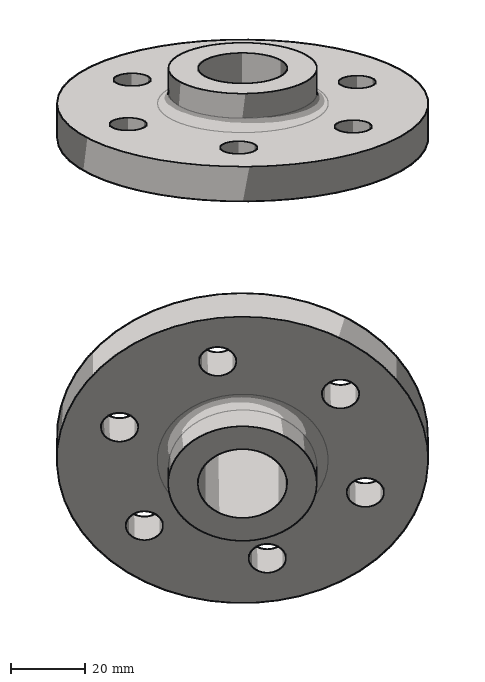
import cadquery as cq

flange_diameter = 100.0
flange_thickness = 10.0

hub_diameter = 40.0
hub_length = 30.0
hub_fillet_radius = 3.0
bore_diameter = 24.0

bolt_hole_count = 6
bolt_hole_diameter = 10.0
bolt_circle_diameter = 70.0


def centred_cylinder(diameter, length):
    return cq.Workplane("XY").workplane(offset=-length / 2).circle(diameter / 2).extrude(length)


def filleted_body():
    """Flange and hub in one piece, with both hub roots filleted."""
    flange = centred_cylinder(flange_diameter, flange_thickness)
    body = flange.union(centred_cylinder(hub_diameter, hub_length))
    flange_faces = body.faces("|Z").faces(cq.selectors.AreaNthSelector(-1))
    hub_roots = flange_faces.edges(cq.selectors.RadiusNthSelector(0))
    return hub_roots.fillet(hub_fillet_radius)


def bolt_holes():
    return (
        cq.Workplane("XY")
        .workplane(offset=-flange_thickness / 2)
        .polarArray(bolt_circle_diameter / 2, 0, 360, bolt_hole_count)
        .circle(bolt_hole_diameter / 2)
        .extrude(flange_thickness)
    )


bore = centred_cylinder(bore_diameter, hub_length)
result = filleted_body().cut(bore).cut(bolt_holes())